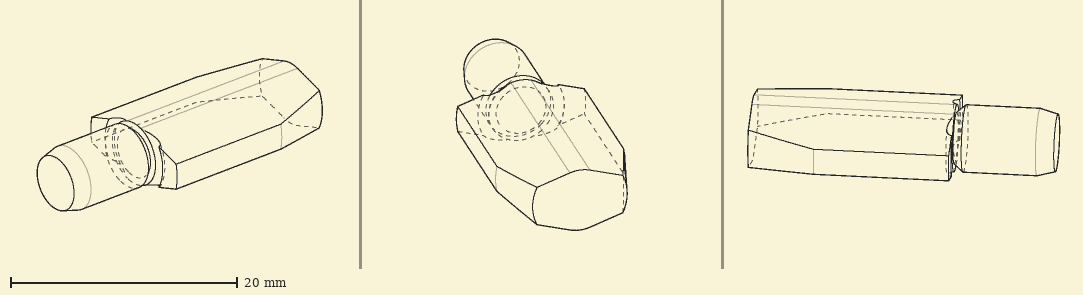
import cadquery as cq
import math

total_length = 27.0
body_length = 18.0
peg_length = total_length - body_length
peg_radius = 3.0

body_width = 11.95
body_half_width = body_width / 2
flat_slope = math.radians(18)

taper_length = 6.0
lead_angle = math.radians(15)

neck_radius = 2.3
neck_length = 0.8
tip_length = 1.6
tip_radius = peg_radius - tip_length * math.tan(lead_angle)

groove_width = 1.0
groove_radius = groove_width / 2
groove_center_radius = peg_radius + groove_radius


def revolve_profile(profile):
    """Turn a radius-versus-Y profile around the Y axis."""
    return profile.close().revolve(360, (0, 0, 0), (0, 1, 0))


def make_diamond_bar():
    """Four sloping flats tangent to rounded ridges of the peg radius."""
    ridge_x = peg_radius * math.sin(flat_slope)
    ridge_z = peg_radius * math.cos(flat_slope)
    corner_angle = math.pi / 2 - flat_slope - math.acos(peg_radius / body_half_width)
    corner_x = body_half_width * math.cos(corner_angle)
    corner_z = body_half_width * math.sin(corner_angle)
    return (
        cq.Workplane("XZ")
        .moveTo(-ridge_x, ridge_z)
        .threePointArc((0, peg_radius), (ridge_x, ridge_z))
        .lineTo(corner_x, corner_z)
        .threePointArc((body_half_width, 0), (corner_x, -corner_z))
        .lineTo(ridge_x, -ridge_z)
        .threePointArc((0, -peg_radius), (-ridge_x, -ridge_z))
        .lineTo(-corner_x, -corner_z)
        .threePointArc((-body_half_width, 0), (-corner_x, corner_z))
        .close()
        .extrude(-body_length)
    )


def make_taper_envelope():
    """Cylinder well clear of the bar, with a conical far end."""
    clear_radius = body_width
    taper_start = body_length - taper_length
    end_radius = body_half_width - taper_length * math.tan(lead_angle)
    return revolve_profile(
        cq.Workplane("XY")
        .lineTo(clear_radius, 0)
        .lineTo(clear_radius, taper_start)
        .lineTo(body_half_width, taper_start)
        .lineTo(end_radius, body_length)
        .lineTo(0, body_length)
    )


def make_groove():
    """Half-round ring sunk into the body face around the peg."""
    return revolve_profile(
        cq.Workplane("XY")
        .moveTo(peg_radius, 0)
        .threePointArc(
            (groove_center_radius, groove_radius),
            (groove_center_radius + groove_radius, 0),
        )
    )


def make_peg():
    """Round peg with a conical neck and a tapered tip."""
    return revolve_profile(
        cq.Workplane("XY")
        .lineTo(neck_radius, 0)
        .lineTo(peg_radius, -neck_length)
        .lineTo(peg_radius, tip_length - peg_length)
        .lineTo(tip_radius, -peg_length)
        .lineTo(0, -peg_length)
    )


body = make_diamond_bar().intersect(make_taper_envelope()).cut(make_groove())
result = body.union(make_peg())